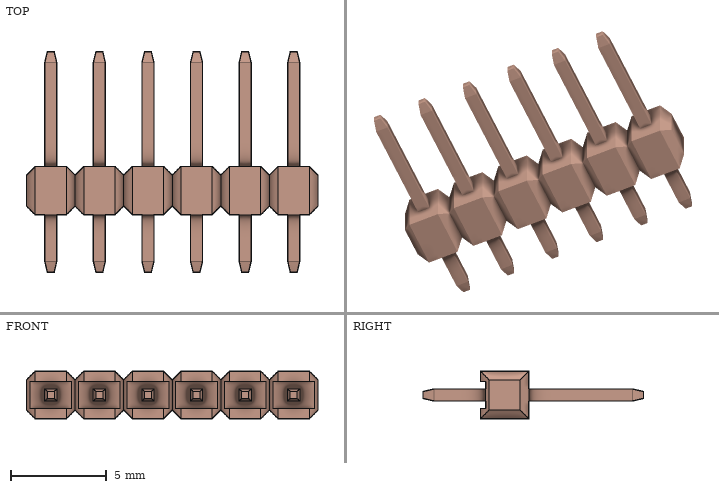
import cadquery as cq

pin_count = 6
row_length = 15.24
pitch = row_length / pin_count

block_depth = pitch
block_height = 2.5
side_bevel = 0.45

slot_height = 1.4
slot_depth = 0.27

pin_length = 11.54
pin_width = 0.64
pin_front_reach = 3.0
tip_length = 0.58
tip_width = 0.37

block_front = -block_depth / 2
pin_front = block_front - pin_front_reach
pin_back = pin_front + pin_length


def make_half_block(direction):
    """Half a block from its middle plane to one side, bevelled on all four edges of that side."""
    straight_length = pitch / 2 - side_bevel
    straight = (
        cq.Workplane("YZ")
        .rect(block_depth, block_height)
        .extrude(direction * straight_length)
    )
    bevelled = (
        cq.Workplane("YZ", origin=(direction * straight_length, 0, 0))
        .rect(block_depth, block_height)
        .workplane(offset=direction * side_bevel)
        .rect(block_depth - 2 * side_bevel, block_height - 2 * side_bevel)
        .loft(ruled=True)
    )
    return straight.union(bevelled)


def make_block():
    """Block with two bevelled sides and a slot running across its front face."""
    slot = cq.Workplane("XY").box(pitch, 2 * slot_depth, slot_height).translate((0, block_front, 0))
    return make_half_block(-1).union(make_half_block(1)).cut(slot)


def make_tip(end, direction):
    """Taper that narrows towards the pin end at Y = end, pointing along Y in the given direction."""
    return (
        cq.Workplane("XZ", origin=(0, end - direction * tip_length, 0))
        .rect(pin_width, pin_width)
        .workplane(offset=-direction * tip_length)
        .rect(tip_width, tip_width)
        .loft(ruled=True)
    )


def make_pin():
    """Square pin tapered at both ends."""
    shank_length = pin_length - 2 * tip_length
    shank_middle = (pin_front + pin_back) / 2
    shank = cq.Workplane("XY").box(pin_width, shank_length, pin_width).translate((0, shank_middle, 0))
    return shank.union(make_tip(pin_front, -1)).union(make_tip(pin_back, 1))


contact = make_block().union(make_pin())
first_contact_x = (pitch - row_length) / 2
result = contact.translate((first_contact_x, 0, 0))
for index in range(1, pin_count):
    result = result.union(contact.translate((first_contact_x + index * pitch, 0, 0)))